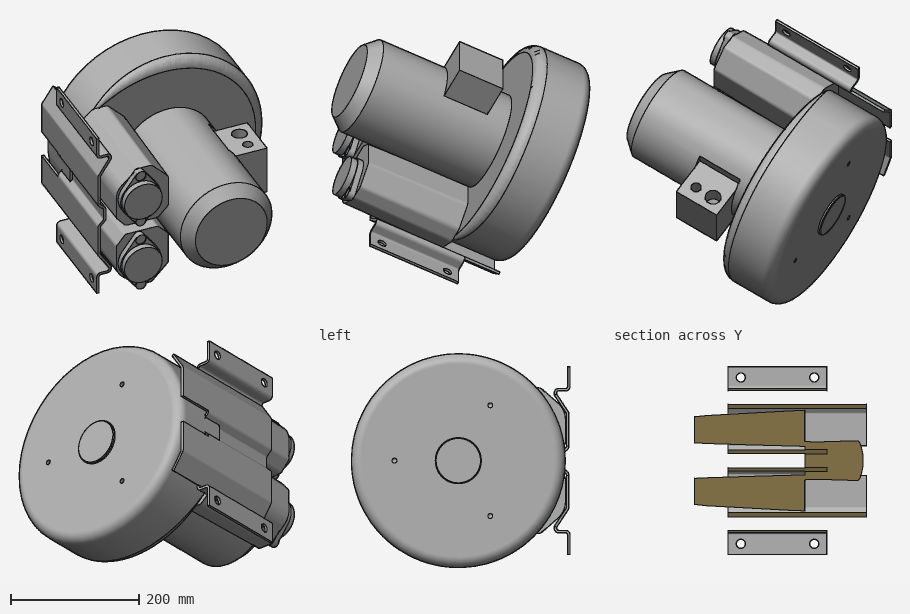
import cadquery as cq
import math


OVERALL_DEPTH = 341.5
HOUSING_RADIUS = 334.0 / 2
HOUSING_LENGTH = 97.5
FRONT_ROUND = 15.5
REAR_ROUND = 17.0
FADE_START = 70.0
FADE_END = 145.0
FADE_POWER = 2.5
ROUND_SWEEP = 143
ROUND_SPARE = 3.5
ROUND_BITE = 0.05
ROUND_STEP = 11
SCREW_HOLE_DIAMETER = 7.5
SCREW_HOLE_DEPTH = 10.5
SCREW_CIRCLE_RADIUS = 99.5
SCREW_COUNT = 3
DRILL_POINT_ANGLE = 118.0

MOTOR_RADIUS = 78.2
MOTOR_END = 342.0
MOTOR_CONE_LENGTH = 19.7
MOTOR_END_RADIUS = 61.2

BOX_START = 134.2
BOX_LENGTH = 75.8
BOX_INNER_Y = 53.5
BOX_OUTER_Y = 119.7
BOX_HALF_HEIGHT = 41.5
GLAND_Y = 96.2
GLAND_DEPTH = 27.7
LARGE_GLAND_X = 156.7
LARGE_GLAND_DIAMETER = 24.5
SMALL_GLAND_X = 188.5
SMALL_GLAND_DIAMETER = 16.0

TUBE_END = 270.0
TUBE_DRAFT = 1.0
TUBE_CORNER_RADIUS = 7.0
TUBE_WIDE_RADIUS = 31.0
TUBE_TOP = 110.7
TUBE_BOTTOM = 8.3
TUBE_OUTER_Y = -164.5
TUBE_INNER_Y = -75.5
TUBE_WIDE_CORNER = (TUBE_OUTER_Y, 78.2)
TUBE_OUTLINE = [
    (-104.0, TUBE_TOP),
    (-127.5, TUBE_TOP),
    TUBE_WIDE_CORNER,
    (TUBE_OUTER_Y, 27.0),
    (-148.8, TUBE_BOTTOM),
    (-93.5, TUBE_BOTTOM),
    (TUBE_INNER_Y, 26.5),
    (TUBE_INNER_Y, 81.5),
]

PORT_Y = -127.0
PORT_Z = 60.2
FLANGE_THICKNESS = 9.7
FLANGE_RADIUS = 34.3
LOBE_RADIUS = 8.5
LOBE_OFFSET = 42.5
LOBE_BOSS_HEIGHT = 1.5
PIPE_RADIUS = 32.2
PIPE_END = 290.0

SHEET = 4.0
BEND_RADIUS = 5.2
FOOT_START = 63.3
FOOT_END = 217.5
TONGUE_START = 1.5
MOUNT_Y = HOUSING_RADIUS - OVERALL_DEPTH
FOOT_TIP = (MOUNT_Y + SHEET / 2, 146.7)
FOOT_CREASE = (FOOT_TIP[0], 110.7)
STEP_CREASE = (-151.5, FOOT_CREASE[1])
SLOPE_TOP = (STEP_CREASE[0], 103.0)
COVER_TOP = (-170.5, 74.5)
COVER_BOTTOM = (COVER_TOP[0], 20.5)
WEB_EDGE = (-160.5, 10.5)
TONGUE_BOTTOM = (COVER_TOP[0], 23.0)
FOOT_HOLE_DIAMETER = 14.0
FOOT_HOLE_Z = 129.8
FOOT_HOLE_XS = (83.0, 197.5)

CAP_RADIUS = 36.0
CAP_THICKNESS = 4.0
CAP_CHAMFER = 1.5


def mirrored(point):
    """The (Y, Z) point on the other side of the plane Z = 0."""
    return (point[0], -point[1])


def disc(x, y, z, radius, length):
    """Cylinder along +X that starts at the given centre."""
    return cq.Workplane("YZ", origin=(x, y, z)).circle(radius).extrude(length)


def drill(origin, direction, diameter, depth):
    """Cutter for a blind hole with a conical drill point, drilled along X or Z."""
    radius = diameter / 2
    point = radius / math.tan(math.radians(DRILL_POINT_ANGLE / 2))
    profile = [(0, 0), (radius, 0), (radius, depth), (0, depth + point)]
    cutter = cq.Workplane("XY").polyline(profile).close().revolve(360, (0, 0), (0, 1))
    side = (0, 1, 0)
    normal = cq.Vector(*side).cross(cq.Vector(*direction))
    return cutter.val().moved(cq.Plane(origin, side, normal.toTuple()).location)



def rear_round_radius(angle):
    """Radius of the rear rim's rounding, which fades out towards the tubes."""
    fade = max(0.0, (abs(angle) - FADE_START) / (FADE_END - FADE_START))
    return REAR_ROUND * (1 - fade**FADE_POWER)


def rear_round_section(angle):
    """Outline of the material that the rounding removes, in the radial plane at this angle from +Y."""
    r = rear_round_radius(angle)
    half_arc = r * math.sqrt(0.5)
    turn = math.radians(angle)
    plane = cq.Plane((0, 0, 0), (1, 0, 0), (0, -math.sin(turn), math.cos(turn)))
    x_end = HOUSING_LENGTH - ROUND_BITE
    rim = HOUSING_RADIUS - ROUND_BITE
    outline = (
        cq.Workplane(plane)
        .moveTo(x_end - r, rim)
        .threePointArc((x_end - r + half_arc, rim - r + half_arc), (x_end, rim - r))
        .lineTo(x_end + ROUND_SPARE, rim - r)
        .lineTo(x_end + ROUND_SPARE, rim + ROUND_SPARE)
        .lineTo(x_end - r, rim + ROUND_SPARE)
        .close()
    )
    return outline.val()


def make_housing():
    housing = disc(0, 0, 0, HOUSING_RADIUS, HOUSING_LENGTH).faces("<X").edges().fillet(FRONT_ROUND)
    sections = [rear_round_section(a) for a in range(-ROUND_SWEEP, ROUND_SWEEP + 1, ROUND_STEP)]
    housing = housing.cut(cq.Workplane(cq.Solid.makeLoft(sections)))
    for i in range(SCREW_COUNT):
        turn = 2 * math.pi * i / SCREW_COUNT
        centre = (0, SCREW_CIRCLE_RADIUS * math.cos(turn), SCREW_CIRCLE_RADIUS * math.sin(turn))
        housing = housing.cut(cq.Workplane(drill(centre, (1, 0, 0), SCREW_HOLE_DIAMETER, SCREW_HOLE_DEPTH)))
    return housing


def make_motor():
    profile = [
        (HOUSING_LENGTH, 0),
        (HOUSING_LENGTH, MOTOR_RADIUS),
        (MOTOR_END - MOTOR_CONE_LENGTH, MOTOR_RADIUS),
        (MOTOR_END, MOTOR_END_RADIUS),
        (MOTOR_END, 0),
    ]
    return cq.Workplane("XY").polyline(profile).close().revolve(360, (0, 0), (1, 0))


def add_terminal_box(motor):
    """Box on the motor's side, its top level with a step cut into the motor above it."""
    box_plane = cq.Workplane("XY", origin=(BOX_START, 0, BOX_HALF_HEIGHT))
    step_width = BOX_OUTER_Y - BOX_INNER_Y
    step = box_plane.center(0, BOX_INNER_Y).rect(BOX_LENGTH, step_width, centered=False).extrude(MOTOR_RADIUS)
    box = box_plane.rect(BOX_LENGTH, BOX_OUTER_Y, centered=False).extrude(-2 * BOX_HALF_HEIGHT)
    motor = motor.cut(step).union(box)
    for x, diameter in ((LARGE_GLAND_X, LARGE_GLAND_DIAMETER), (SMALL_GLAND_X, SMALL_GLAND_DIAMETER)):
        hole = drill((x, GLAND_Y, BOX_HALF_HEIGHT), (0, 0, -1), diameter, GLAND_DEPTH)
        motor = motor.cut(cq.Workplane(hole))
    return motor


def make_tube():
    """The upper tube, drafted from its free end back to the housing."""
    outline = cq.Workplane("YZ", origin=(TUBE_END, 0, 0)).polyline(TUBE_OUTLINE).close().val()
    wide_corner = cq.Vector(TUBE_END, *TUBE_WIDE_CORNER)

    def from_wide_corner(corner):
        return (corner.Center() - wide_corner).Length

    plain_corners = sorted(outline.Vertices(), key=from_wide_corner)[1:]
    outline = outline.fillet2D(TUBE_CORNER_RADIUS, plain_corners)
    outline = outline.fillet2D(TUBE_WIDE_RADIUS, [min(outline.Vertices(), key=from_wide_corner)])
    length = TUBE_END - HOUSING_LENGTH
    end_plane = cq.Workplane("YZ", origin=(TUBE_END, 0, 0))
    return end_plane.add(outline).toPending().extrude(-length, taper=-TUBE_DRAFT)


def make_flange():
    """Two-lobed plate with a pipe stub and a raised boss on each lobe, on the upper tube."""
    side_angle = math.asin((FLANGE_RADIUS - LOBE_RADIUS) / LOBE_OFFSET)
    side_y = math.cos(side_angle)
    side_z = math.sin(side_angle)
    middle_y = FLANGE_RADIUS * side_y
    middle_z = FLANGE_RADIUS * side_z
    lobe_y = LOBE_RADIUS * side_y
    lobe_z = LOBE_OFFSET + LOBE_RADIUS * side_z
    lobe_tip = LOBE_OFFSET + LOBE_RADIUS
    flange = (
        cq.Workplane("YZ", origin=(TUBE_END, PORT_Y, PORT_Z))
        .moveTo(middle_y, -middle_z)
        .threePointArc((FLANGE_RADIUS, 0), (middle_y, middle_z))
        .lineTo(lobe_y, lobe_z)
        .threePointArc((0, lobe_tip), (-lobe_y, lobe_z))
        .lineTo(-middle_y, middle_z)
        .threePointArc((-FLANGE_RADIUS, 0), (-middle_y, -middle_z))
        .lineTo(-lobe_y, -lobe_z)
        .threePointArc((0, -lobe_tip), (lobe_y, -lobe_z))
        .close()
        .extrude(FLANGE_THICKNESS)
    )
    flange = flange.union(disc(TUBE_END, PORT_Y, PORT_Z, PIPE_RADIUS, PIPE_END - TUBE_END))
    for offset in (-LOBE_OFFSET, LOBE_OFFSET):
        boss = disc(TUBE_END, PORT_Y, PORT_Z + offset, LOBE_RADIUS, FLANGE_THICKNESS + LOBE_BOSS_HEIGHT)
        flange = flange.union(boss)
    return flange


def make_blower(recess):
    """The whole blower, with a recess that fits the foot."""
    port = make_tube().union(make_flange())
    blower = make_housing().union(add_terminal_box(make_motor()))
    blower = blower.union(port).union(port.mirror("XY"))
    return blower.cut(recess)



def bent_sheet(points, x_start, x_end):
    """Sheet along a bent (Y, Z) line, running from x_start to x_end; the slope's top crease stays sharp."""
    line = cq.Workplane("YZ", origin=(x_start, 0, 0)).polyline(points).wire().val()
    bends = [corner for corner in line.Vertices()[1:-1] if abs(corner.Z) != SLOPE_TOP[1]]
    line = line.fillet(BEND_RADIUS, bends)
    start = line.startPoint()
    plane = cq.Plane(start, (1, 0, 0), line.tangentAt(0))
    section = cq.Workplane(plane).center((x_end - x_start) / 2, 0).rect(x_end - x_start, SHEET)
    return section.sweep(cq.Workplane(line), transition="right")


def make_foot():
    half_line = [FOOT_TIP, FOOT_CREASE, STEP_CREASE, SLOPE_TOP, COVER_TOP, COVER_BOTTOM, WEB_EDGE]
    full_line = half_line + [mirrored(point) for point in reversed(half_line)]
    foot = bent_sheet(full_line, FOOT_START, FOOT_END)
    tongue_line = [SLOPE_TOP, COVER_TOP, TONGUE_BOTTOM]
    tongue = bent_sheet(tongue_line, TONGUE_START, FOOT_START)
    foot = foot.union(tongue).union(tongue.mirror("XY"))
    holes = (
        cq.Workplane("XZ", origin=(0, MOUNT_Y + 2 * SHEET, 0))
        .pushPoints([(x, z) for x in FOOT_HOLE_XS for z in (FOOT_HOLE_Z, -FOOT_HOLE_Z)])
        .circle(FOOT_HOLE_DIAMETER / 2)
        .extrude(3 * SHEET)
    )
    return foot.cut(holes)



def make_cap():
    cap = disc(-CAP_THICKNESS, 0, 0, CAP_RADIUS, CAP_THICKNESS)
    return cap.faces("<X").edges().chamfer(CAP_CHAMFER)


foot = make_foot()
blower = make_blower(foot)
cap = make_cap()

result = cq.Compound.makeCompound([blower.val(), foot.val(), cap.val()])